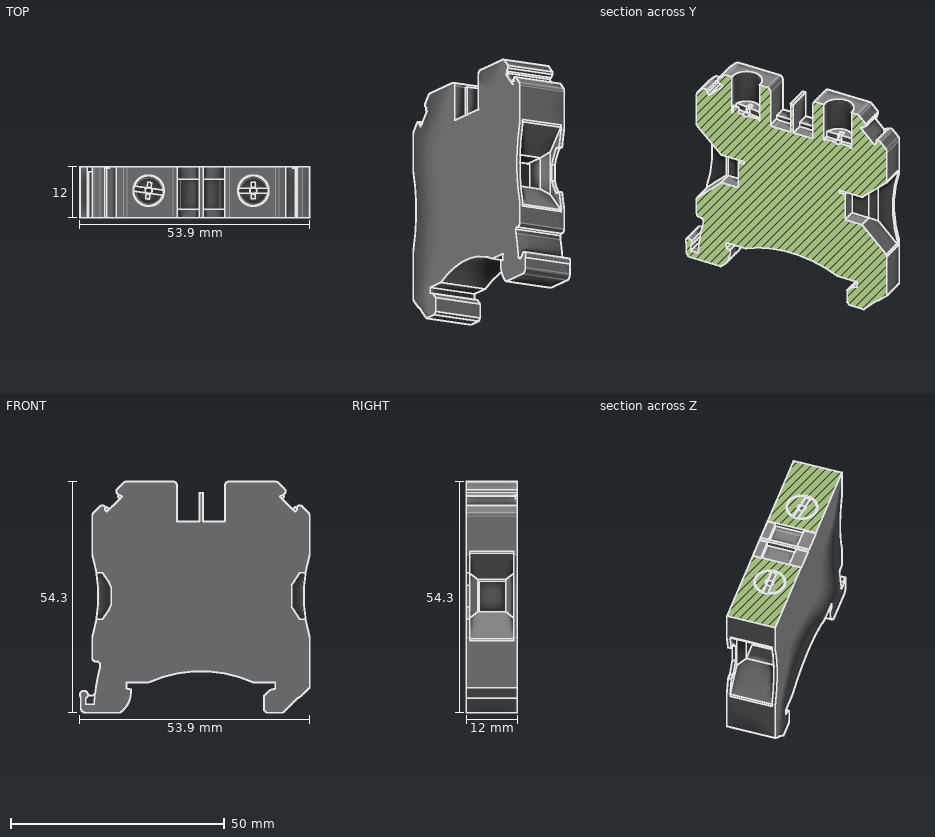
import cadquery as cq
import math


thickness = 12.0
height = 54.25
half_length = 25.5
latch_tip_x = half_length - 53.9

boss_inner_x = 5.6
boss_round = 1.0
boss_outer_x = 17.85
boss_outer_round = 1.1
boss_lip_x = 19.85
slot_floor_z = 44.9
fin_left_x = -0.35
fin_right_x = 0.5
fin_top_z = 51.6

lip_bottom_z = 51.6
groove_top = (18.45, 50.75)
groove_bottom = (22.07, 47.17)
lip_underside = [(19.15, 51.0), (18.95, 50.95)]
hook_inner_foot = (22.5, 47.6)
hook_inner_x = 22.55
hook_outer_x = 23.75
hook_crown_x = (hook_inner_x + hook_outer_x) / 2
hook_crown_z = 48.65
hook_side_z = 48.4
shoulder_z = hook_side_z - (half_length - hook_outer_x)
shoulder_round = 1.2
groove_web = 0.45
groove_web_leg = 0.55

waist_z = 27.4
waist_half_height = 9.65
waist_sag = 1.4
funnel_half_height = 10.5
funnel_mouth_round = 0.7
funnel_straight_depth = 5.2
funnel_depth = 6.7
neck_top_z = 31.3
neck_bottom_z = 23.7
neck_length = 6.0
clamp_length = 1.5
clamp_front_gap = 0.4
clamp_top_gap = 0.5
funnel_wall = 0.83
funnel_taper = 1.85
overcut = 1.0

window_half_height = 5.45
left_window = [(23.07, window_half_height), (21.55, 3.2), (21.04, 1.95)]
right_window = [(23.15, window_half_height), (21.24, 2.55)]

screw_x = 12.27
screw_y = 6.35
screw_bore = 7.3
screw_head_depth = 8.0
head_diameter = 7.0
head_gap_depth = 2.0
head_round = 0.45
drive_slot_width = 1.2
drive_slot_depth = 1.6
cross_width = 0.9
cross_half_length = 1.95
cross_half_length_bottom = 0.55
dimple_diameter = 1.6
dimple_depth = 0.8
left_screw_angle = -8.0

recess_front_y = 2.0
recess_back_y = 9.0
recess_depth = 1.2
recess_flat_left_x = -4.8
recess_flat_right_x = 4.4
recess_edge_rise = 0.35

rail_face_z = 7.1
rail_notch_z = 5.7
rail_notch_x = 17.4
rail_arch_half_width = 12.3
rail_arch_top_z = 9.75

right_flank_points = [(half_length, 5.9), (23.2, 3.7), (22.6, 3.4), (19.2, 0)]
right_toe_x = 14.75
right_toe_chamfer = 0.65
right_claw_points = [(right_toe_x, 4.0), (16.2, 5.4)]

left_claw_tip = (-16.4, 5.55)
left_claw_middle = (-17.0, 2.3)
left_claw_foot_x = -19.0
latch_heel_x = -27.1
latch_heel_middle = (-27.9, 0.4)
latch_side_x = -28.2
latch_heel_top_z = 1.3
latch_hook_base_z = 3.67
latch_tip_z = 4.25
latch_dip_start = (-26.67, 4.79)
latch_dip_bottom = (-25.7, 4.05)
spring_middle = (-24.4, 7.5)
spring_top = (-23.7, 10.65)
spring_gap_top_z = 12.0
spring_gap_chamfer = 0.4
end_corner_round = 0.8

latch_web = 1.25
latch_groove_left_x = -26.95
latch_groove_right_x = -25.05
latch_groove_floor_z = 2.0
latch_groove_side_top_z = 3.4
latch_groove_top_left = (-26.2, 4.3)
latch_groove_top_right = (-24.85, 4.5)


def front_extrusion(sketch, start_y, depth):
    """Extrude an XZ sketch from start_y toward +Y."""
    return sketch.extrude(-depth).translate((0, start_y, 0))


def groove_points(side):
    """Corner points of one label groove, from the boss down to its lower hook."""
    points = [
        (boss_outer_x, height),
        (boss_lip_x, height - (boss_lip_x - boss_outer_x)),
        (boss_lip_x, lip_bottom_z),
        *lip_underside,
        groove_top,
        groove_bottom,
        hook_inner_foot,
    ]
    return [(side * x, z) for x, z in points]


def add_lines(outline, points):
    """Continue an outline with straight runs through the given points."""
    for point in points:
        outline = outline.lineTo(*point)
    return outline


def add_right_end(outline):
    """From the right boss down the right end."""
    outline = add_lines(outline, groove_points(1))
    return (
        outline.lineTo(hook_inner_x, hook_side_z)
        .threePointArc((hook_crown_x, hook_crown_z), (hook_outer_x, hook_side_z))
        .lineTo(half_length, shoulder_z)
        .lineTo(half_length, waist_z + waist_half_height)
        .threePointArc((half_length - waist_sag, waist_z), (half_length, waist_z - waist_half_height))
    )


def add_right_foot_and_rail_seat(outline):
    """Around the fixed foot and along the arched rail seat."""
    outline = add_lines(outline, right_flank_points)
    outline = outline.lineTo(right_toe_x + right_toe_chamfer, 0).lineTo(right_toe_x, right_toe_chamfer)
    outline = add_lines(outline, right_claw_points)
    return (
        outline.lineTo(rail_notch_x, rail_notch_z)
        .lineTo(rail_notch_x, rail_face_z)
        .lineTo(rail_arch_half_width, rail_face_z)
        .threePointArc((0, rail_arch_top_z), (-rail_arch_half_width, rail_face_z))
        .lineTo(-rail_notch_x, rail_face_z)
        .lineTo(-rail_notch_x, rail_notch_z)
    )


def add_left_foot(outline):
    """Around the sprung foot, over its latch hook and up to the left end."""
    return (
        outline.lineTo(*left_claw_tip)
        .threePointArc(left_claw_middle, (left_claw_foot_x, 0))
        .lineTo(latch_heel_x, 0)
        .threePointArc(latch_heel_middle, (latch_side_x, latch_heel_top_z))
        .lineTo(latch_side_x, latch_hook_base_z)
        .threePointArc((latch_tip_x, latch_tip_z), latch_dip_start)
        .threePointArc(latch_dip_bottom, latch_groove_top_right)
        .threePointArc(spring_middle, spring_top)
        .lineTo(spring_top[0], spring_gap_top_z - spring_gap_chamfer)
        .lineTo(spring_top[0] - spring_gap_chamfer, spring_gap_top_z)
        .lineTo(end_corner_round - half_length, spring_gap_top_z)
        .radiusArc((-half_length, spring_gap_top_z + end_corner_round), end_corner_round)
    )


def add_left_end(outline):
    """Up the left end to the left boss."""
    outline = (
        outline.lineTo(-half_length, waist_z - waist_half_height)
        .threePointArc((waist_sag - half_length, waist_z), (-half_length, waist_z + waist_half_height))
        .lineTo(-half_length, shoulder_z)
        .lineTo(-hook_outer_x, hook_side_z)
        .threePointArc((-hook_crown_x, hook_crown_z), (-hook_inner_x, hook_side_z))
    )
    return add_lines(outline, reversed(groove_points(-1)))


def add_slot(outline):
    """Across the left boss and through the slot, over the thin fin at its middle."""
    return (
        outline.lineTo(-boss_inner_x - boss_round, height)
        .radiusArc((-boss_inner_x, height - boss_round), boss_round)
        .lineTo(-boss_inner_x, slot_floor_z)
        .lineTo(fin_left_x, slot_floor_z)
        .lineTo(fin_left_x, fin_top_z)
        .lineTo(fin_right_x, fin_top_z)
        .lineTo(fin_right_x, slot_floor_z)
        .lineTo(boss_inner_x, slot_floor_z)
    )


def housing():
    """Full-thickness body with its outer boss and shoulder edges rounded."""
    outline = cq.Workplane("XZ").moveTo(boss_inner_x, height - boss_round)
    outline = outline.radiusArc((boss_inner_x + boss_round, height), boss_round)
    outline = add_right_end(outline)
    outline = add_right_foot_and_rail_seat(outline)
    outline = add_left_foot(outline)
    outline = add_left_end(outline)
    outline = add_slot(outline).close()
    body = front_extrusion(outline, 0, thickness)
    for side in (-1, 1):
        boss_edge = cq.NearestToPointSelector((side * boss_outer_x, thickness / 2, height))
        body = body.edges(boss_edge).fillet(boss_outer_round)
        shoulder_edge = cq.NearestToPointSelector((side * half_length, thickness / 2, shoulder_z))
        body = body.edges(shoulder_edge).fillet(shoulder_round)
    return body


def groove_webs(side):
    """Small webs closing both groove corners at the back face."""
    webs = cq.Workplane("XZ")
    top_x, top_z = groove_top
    bottom_x, bottom_z = groove_bottom
    leg = groove_web_leg
    corners = [
        [(top_x, top_z), (top_x + leg, top_z - leg), (top_x + 2 * leg, top_z), (top_x + leg, top_z + leg)],
        [
            (bottom_x, bottom_z),
            (bottom_x - leg, bottom_z + leg),
            (bottom_x, bottom_z + 2 * leg),
            (bottom_x + leg, bottom_z + leg),
        ],
    ]
    for corner in corners:
        webs = webs.polyline([(side * x, z) for x, z in corner]).close()
    return front_extrusion(webs, thickness - groove_web, groove_web)


def wire_funnel(side):
    """Funnel in one end: sloped top and bottom with rounded mouth edges, narrowing to a straight neck."""
    outside_x = side * (half_length + overcut)
    mouth_x = side * half_length
    straight_x = side * (half_length - funnel_straight_depth)
    neck_start_x = side * (half_length - funnel_depth)
    neck_end_x = neck_start_x - side * neck_length

    round_rise = funnel_mouth_round * math.sin(math.pi / 4)
    round_run = funnel_mouth_round * (1 - math.cos(math.pi / 4))
    slope_x = mouth_x - side * round_run
    mouth_top_z = waist_z + funnel_half_height
    mouth_bottom_z = waist_z - funnel_half_height
    side_profile = (
        cq.Workplane("XZ")
        .moveTo(outside_x, mouth_top_z)
        .lineTo(mouth_x, mouth_top_z)
        .radiusArc((slope_x, mouth_top_z - round_rise), -side * funnel_mouth_round)
        .lineTo(neck_start_x, neck_top_z)
        .lineTo(neck_end_x, neck_top_z)
        .lineTo(neck_end_x, neck_bottom_z)
        .lineTo(neck_start_x, neck_bottom_z)
        .lineTo(slope_x, mouth_bottom_z + round_rise)
        .radiusArc((mouth_x, mouth_bottom_z), -side * funnel_mouth_round)
        .lineTo(outside_x, mouth_bottom_z)
        .close()
    )

    front_side = [
        (outside_x, funnel_wall),
        (straight_x, funnel_wall),
        (neck_start_x, funnel_wall + funnel_taper),
        (neck_end_x, funnel_wall + funnel_taper),
    ]
    back_side = [(x, thickness - y) for x, y in reversed(front_side)]
    plan = cq.Workplane("XY").polyline(front_side + back_side).close()
    return front_extrusion(side_profile, 0, thickness).intersect(plan.extrude(height))


def clamp_block(side):
    """Clamp face at the end of a neck, leaving narrow gaps in front of it and above it."""
    neck_end = half_length - funnel_depth - neck_length
    front_y = funnel_wall + funnel_taper + clamp_front_gap
    back_y = thickness - funnel_wall - funnel_taper
    block_height = neck_top_z - clamp_top_gap - neck_bottom_z
    center = (
        side * (neck_end + clamp_length / 2),
        (front_y + back_y) / 2,
        neck_bottom_z + block_height / 2,
    )
    return cq.Workplane("XY").box(clamp_length, back_y - front_y, block_height).translate(center)


def window(side, upper_corners):
    """Opening through the front wall, symmetric above and below the waist."""
    upper = [(half_length + overcut, window_half_height)] + upper_corners
    lower = [(x, -z) for x, z in reversed(upper)]
    outline = cq.Workplane("XZ").polyline([(side * x, waist_z + z) for x, z in upper + lower]).close()
    return front_extrusion(outline, 0, funnel_wall)


def screw_cut(x, angle):
    """Screw bore, clearance around the round-rimmed head, and the head's drive slot, cross and dimple."""
    radius = head_diameter / 2
    bore = cq.Workplane("XY").circle(screw_bore / 2).extrude(screw_head_depth)
    head_gap = cq.Workplane("XY").circle(screw_bore / 2).circle(radius).extrude(-head_gap_depth)
    head_rim = (
        cq.Workplane("XZ")
        .moveTo(radius, 0)
        .lineTo(radius - head_round, 0)
        .radiusArc((radius, -head_round), head_round)
        .close()
        .revolve(360, (0, 0, 0), (0, 1, 0))
    )
    slot = (
        cq.Workplane("XY")
        .rect(head_diameter, drive_slot_width)
        .extrude(-drive_slot_depth)
        .intersect(cq.Workplane("XY").circle(radius).extrude(-drive_slot_depth))
    )
    cross = (
        cq.Workplane("YZ")
        .polyline(
            [
                (-cross_half_length, 0),
                (cross_half_length, 0),
                (cross_half_length_bottom, -drive_slot_depth),
                (-cross_half_length_bottom, -drive_slot_depth),
            ]
        )
        .close()
        .extrude(cross_width / 2, both=True)
    )
    dimple = cq.Workplane(
        cq.Solid.makeCone(
            dimple_diameter / 2, 0, dimple_depth, cq.Vector(0, 0, -drive_slot_depth), cq.Vector(0, 0, -1)
        )
    )
    cut = bore.union(head_gap).union(head_rim).union(slot).union(cross).union(dimple)
    cut = cut.rotate((0, 0, 0), (0, 0, 1), angle)
    return cut.translate((x, screw_y, height - screw_head_depth))


def jumper_recess():
    """Recess with a flat floor whose two ends curve upward, interrupted by the fin."""
    flat_z = slot_floor_z - recess_depth
    end_z = flat_z + recess_edge_rise

    def edge_radius(run):
        return (run**2 + recess_edge_rise**2) / (2 * recess_edge_rise)

    outline = (
        cq.Workplane("XZ")
        .moveTo(-boss_inner_x, slot_floor_z)
        .lineTo(-boss_inner_x, end_z)
        .radiusArc((recess_flat_left_x, flat_z), -edge_radius(boss_inner_x + recess_flat_left_x))
        .lineTo(recess_flat_right_x, flat_z)
        .radiusArc((boss_inner_x, end_z), -edge_radius(boss_inner_x - recess_flat_right_x))
        .lineTo(boss_inner_x, slot_floor_z)
        .close()
    )
    recess = front_extrusion(outline, recess_front_y, recess_back_y - recess_front_y)
    fin = cq.Workplane("XY").box(fin_right_x - fin_left_x, thickness, fin_top_z, centered=False)
    return recess.cut(fin.translate((fin_left_x, 0, 0)))


def latch_groove():
    """Groove behind the latch hook, closed by a web at the back face."""
    outline = (
        cq.Workplane("XZ")
        .moveTo(latch_groove_left_x, latch_groove_floor_z)
        .lineTo(latch_groove_right_x, latch_groove_floor_z)
        .lineTo(*latch_groove_top_right)
        .lineTo(*latch_groove_top_left)
        .lineTo(latch_groove_left_x, latch_groove_side_top_z)
        .close()
    )
    return front_extrusion(outline, 0, thickness - latch_web)


result = housing()
for end in (-1, 1):
    result = result.union(groove_webs(end))
    result = result.cut(wire_funnel(end))
    result = result.union(clamp_block(end))
result = result.cut(window(-1, left_window))
result = result.cut(window(1, right_window))
result = result.cut(screw_cut(-screw_x, left_screw_angle))
result = result.cut(screw_cut(screw_x, 0))
result = result.cut(jumper_recess())
result = result.cut(latch_groove())